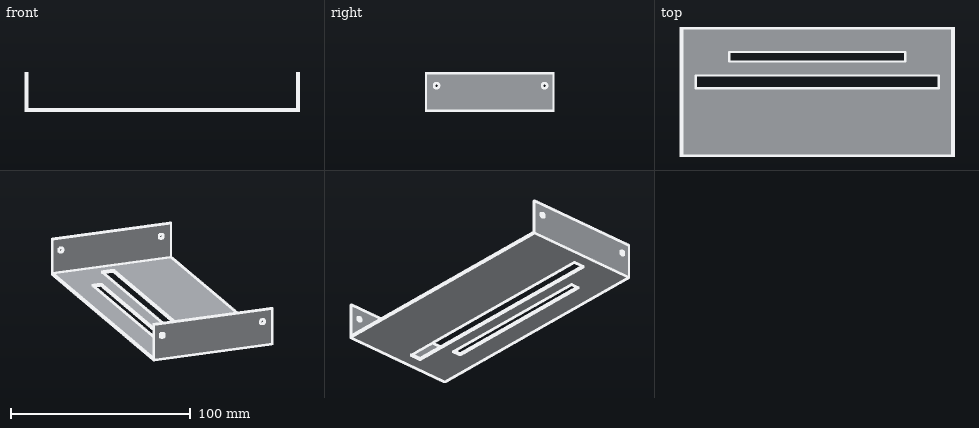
import cadquery as cq

length = 152.0
width = 71.0
height = 21.0
thickness = 0.99

short_slot_length = 97.6
short_slot_width = 5.2
short_slot_y = 19.6
long_slot_length = 135.0
long_slot_width = 7.0
long_slot_y = 5.6

hole_diameter = 2.7
hole_spacing = 60.0
hole_edge_distance = 5.0
hole_height = 14.0


def make_channel():
    """Base plate with a wall standing at each X end."""
    block = cq.Workplane("XY").box(length, width, height, centered=(True, True, False))
    inside = (
        cq.Workplane("XY", origin=(0, 0, thickness))
        .box(length - 2 * thickness, width, height, centered=(True, True, False))
    )
    return block.cut(inside)


def make_slot(slot_length, slot_width, slot_y):
    """Cutter for one square-ended slot through the base."""
    return (
        cq.Workplane("XY", origin=(0, slot_y, 0))
        .box(slot_length, slot_width, 2 * thickness)
    )


def make_wall_holes():
    """Cutters for the pair of holes that passes through both walls."""
    first_hole_y = width / 2 - hole_edge_distance
    return (
        cq.Workplane("YZ", origin=(0, 0, hole_height))
        .pushPoints([(first_hole_y, 0), (first_hole_y - hole_spacing, 0)])
        .circle(hole_diameter / 2)
        .extrude(length, both=True)
    )


result = (
    make_channel()
    .cut(make_slot(short_slot_length, short_slot_width, short_slot_y))
    .cut(make_slot(long_slot_length, long_slot_width, long_slot_y))
    .cut(make_wall_holes())
)